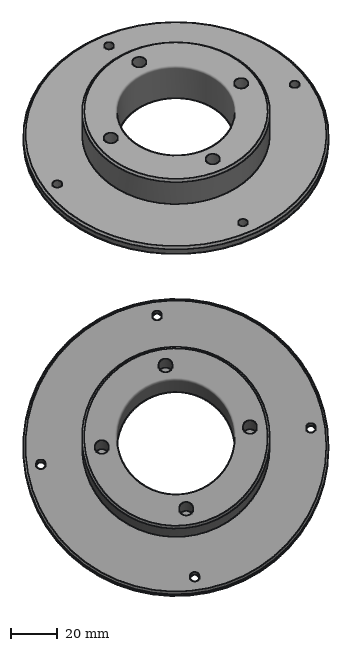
import cadquery as cq
import math

FLANGE_DIAMETER = 130.0
FLANGE_THICKNESS = 5.0

HUB_DIAMETER = 80.0
TOTAL_HEIGHT = 20.0
HUB_HEIGHT = TOTAL_HEIGHT - FLANGE_THICKNESS

BORE_DIAMETER = 50.0
BORE_MOUTH_FILLET = 1.0

EDGE_CHAMFER = 1.0

FLANGE_HOLE_DIAMETER = 4.15
FLANGE_HOLE_CIRCLE_DIAMETER = 116.0

HUB_HOLE_DIAMETER = 6.0
HUB_HOLE_SPACING = 45.0
HUB_HOLE_CIRCLE_DIAMETER = HUB_HOLE_SPACING * math.sqrt(2)
HUB_HOLE_DEPTH = 15.0

HOLE_COUNT = 4
FIRST_HOLE_ANGLE = 45.0


def make_disc(diameter, height, base_z):
    """Solid disc on the Z axis, starting at base_z."""
    return cq.Workplane("XY").workplane(offset=base_z).circle(diameter / 2).extrude(height)


def make_hole_pattern(hole_diameter, circle_diameter, bottom_z, top_z):
    """Cylinders evenly spaced on a circle, used as hole cutters."""
    return (
        cq.Workplane("XY")
        .workplane(offset=bottom_z)
        .polarArray(circle_diameter / 2, FIRST_HOLE_ANGLE, 360, HOLE_COUNT, rotate=False)
        .circle(hole_diameter / 2)
        .extrude(top_z - bottom_z)
    )


def make_body():
    """Chamfered flange and hub with the central bore, rounded at its top mouth."""
    flange = make_disc(FLANGE_DIAMETER, FLANGE_THICKNESS, 0).edges().chamfer(EDGE_CHAMFER)
    hub = make_disc(HUB_DIAMETER, HUB_HEIGHT, FLANGE_THICKNESS)
    hub = hub.faces(">Z").edges().chamfer(EDGE_CHAMFER)
    bore = make_disc(BORE_DIAMETER, TOTAL_HEIGHT, 0)
    bored_body = flange.union(hub).cut(bore)
    bore_top_mouth = bored_body.faces(">Z").edges(cq.selectors.RadiusNthSelector(0))
    return bore_top_mouth.fillet(BORE_MOUTH_FILLET)


flange_holes = make_hole_pattern(
    FLANGE_HOLE_DIAMETER, FLANGE_HOLE_CIRCLE_DIAMETER, 0, FLANGE_THICKNESS
)
hub_holes = make_hole_pattern(
    HUB_HOLE_DIAMETER, HUB_HOLE_CIRCLE_DIAMETER, TOTAL_HEIGHT - HUB_HOLE_DEPTH, TOTAL_HEIGHT
)

result = make_body().cut(flange_holes).cut(hub_holes)